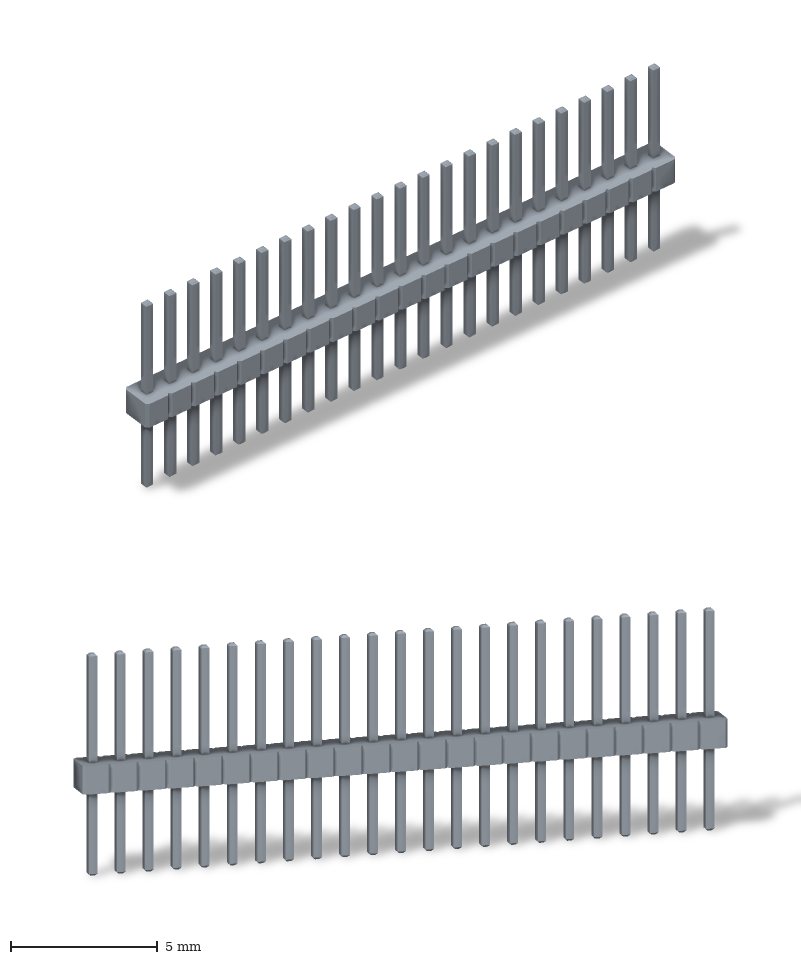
import cadquery as cq

row_length = 23.0
body_width = 1.26
pin_length = 7.8

pin_count = 23
pitch = row_length / pin_count
pin_side = 0.3
tip_chamfer = 0.075
tail_length = 3 * pitch

body_height = pitch
segment_chamfer = 0.1


def segment(y):
    """One body segment standing on Z = 0, with its four upright edges chamfered."""
    block = cq.Workplane("XY").box(body_width, pitch, body_height, centered=(True, True, False))
    return block.edges("|Z").chamfer(segment_chamfer).translate((0, y, 0))


def pin(y):
    """One square pin through the body, chamfered at both tips."""
    bar = cq.Workplane("XY").box(pin_side, pin_side, pin_length, centered=(True, True, False))
    return bar.faces("<Z or >Z").chamfer(tip_chamfer).translate((0, y, -tail_length))


first_y = -(row_length - pitch) / 2
positions = [first_y + i * pitch for i in range(pin_count)]

result = segment(positions[0])
for y in positions[1:]:
    result = result.union(segment(y))
for y in positions:
    result = result.union(pin(y))